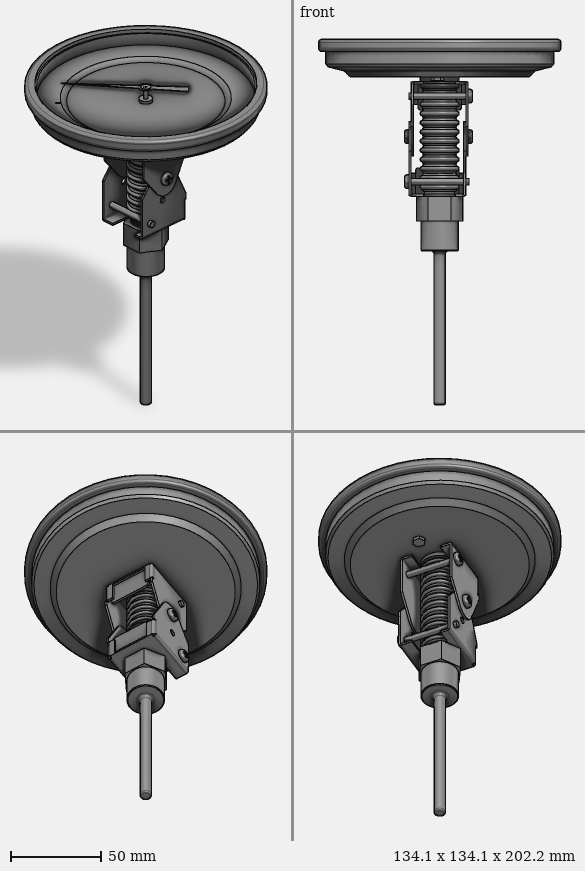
import math

import cadquery as cq

TOTAL_HEIGHT = 202.18

BEZEL_RADIUS = 134.11 / 2
BEZEL_HEIGHT = 6.8
BEZEL_ROUND = 1.8
LIP_RADIUS = 122.83 / 2
LIP_DEPTH = 2.2
CASE_RADIUS = 126.24 / 2
CASE_BORE_RADIUS = 120.9 / 2
CASE_WALL_BOTTOM = TOTAL_HEIGHT - 13.6
CASE_BOTTOM = TOTAL_HEIGHT - 20.9
CASE_SHOULDER_RADIUS = 61.8
CASE_SHOULDER_Z = TOTAL_HEIGHT - 15.3
CASE_KNEE_RADIUS = 52.8
CASE_KNEE_Z = TOTAL_HEIGHT - 17.6
CASE_FLOOR_RADIUS = 49.5

DIAL_Z = TOTAL_HEIGHT - 9.3
RECESS_TOP_RADIUS = 47.3
RECESS_FLOOR_RADIUS = 43.8
RECESS_DEPTH = 2.0
RECESS_Z = DIAL_Z - RECESS_DEPTH
MARK_INNER_RADIUS = 47.6
MARK_LENGTH = 2.6
MARK_WIDTH = 1.0
MARK_HEIGHT = 0.1
MARK_ANGLES = (232.5, 307.5)
POINTER_TOP = TOTAL_HEIGHT - 2.5
POINTER_THICKNESS = 0.4
POINTER_ANGLE = 220.0
POINTER_TIP = 47.0
POINTER_TAIL = 23.8
POINTER_TAIL_WIDTH = 5.5
POINTER_DISC_DIAMETER = 8.3
KNOB_DIAMETER = 5.75
KNOB_HEIGHT = 0.2
KNOB_DIMPLE_DIAMETER = 0.76
SPINDLE_DIAMETER = 2.5
BUSHING_DIAMETER = 7.62
BUSHING_HEIGHT = 1.7

NUT_FLATS = 6.2
NUT_X = -1.2
NUT_Y = -23.8
NUT_HEIGHT = 1.9

SHEET = 1.25
BRACKET_WIDTH = 31.5
BRACKET_DEPTH = 34.0
BEND_RADIUS = 1.5
UPPER_BASE_Z = TOTAL_HEIGHT - 23.4
LOWER_BASE_Z = TOTAL_HEIGHT - 86.9
LOWER_BRACKET_X = -SHEET
BACK_EDGE_HEIGHT = 16.4
FRONT_EDGE_HEIGHT = 25.0
EAR_HEIGHT = 33.0
EAR_RADIUS = 8.3
TAB_HEIGHT = 12.8
TAB_BOTTOM = 0.4
TAB_LENGTH = 5.0
TAB_BEND = 1.9
TAB_BEND_RADIUS = 1.8
BACK_PLATE_WIDTH = 24.1
BACK_PLATE_HEIGHT = 15.8
BACK_PLATE_CORNER = 1.5
SLOT_RADIUS = 8.8
SMALL_HOLE_DIAMETER = 3.68
SMALL_HOLE_HEIGHT = 19.1
SMALL_HOLE_Y = -1.2

ROD_DIAMETER = 3.68
ROD_Y = -11.0
ROD_HEIGHT = 8.1
UPPER_ROD_PROTRUSION = 1.25
LOWER_ROD_PROTRUSION = 1.85
HEAD_DIAMETER = 7.75
HEAD_HEIGHT = 2.5
HEAD_ROUND = 1.6
CROSS_LENGTH = 4.4
CROSS_WIDTH = 1.1
CROSS_DEPTH = 1.2

NECK_RADIUS = 21.59 / 2
RIDGE_PITCH = 5.08
RIDGE_ROUND = RIDGE_PITCH / 4
RIDGE_COUNT = 12
VALLEY_RADIUS = NECK_RADIUS - 2 * RIDGE_ROUND
TOP_VALLEY_Z = TOTAL_HEIGHT - 23.32
COLLAR_RADIUS = 8.6

HEX_FLATS = 22.225
HEX_BOTTOM = TOTAL_HEIGHT - 100.6
FITTING_RADIUS = 20.86 / 2
FITTING_BOTTOM = TOTAL_HEIGHT - 117.0
FITTING_CHAMFER = 0.5
STEM_RADIUS = 6.35 / 2
STEM_TOP_FILLET = 1.9
STEM_TIP_ROUND = 1.0


def cylinder(radius, bottom, top):
    return cq.Workplane("XY").workplane(offset=bottom).circle(radius).extrude(top - bottom)


def hexagon(flats, bottom, top):
    """Hexagonal prism on the Z axis with two corners on the X axis."""
    corners = flats / math.cos(math.pi / 6)
    return cq.Workplane("XY").workplane(offset=bottom).polygon(6, corners).extrude(top - bottom)


def tangent_point(point, centre, radius, side):
    """Point where the line from `point` touches the circle; `side` is +1 or -1."""
    dx = point[0] - centre[0]
    dy = point[1] - centre[1]
    angle = math.atan2(dy, dx) + side * math.acos(radius / math.hypot(dx, dy))
    return (centre[0] + radius * math.cos(angle), centre[1] + radius * math.sin(angle))


def make_case():
    """Bezel, case and recessed dial, turned about the stem axis."""
    bezel_bottom = TOTAL_HEIGHT - BEZEL_HEIGHT
    bezel = cylinder(BEZEL_RADIUS, bezel_bottom, TOTAL_HEIGHT).edges().fillet(BEZEL_ROUND)
    shell = (
        cq.Workplane("XZ")
        .moveTo(0, CASE_BOTTOM)
        .lineTo(CASE_FLOOR_RADIUS, CASE_BOTTOM)
        .lineTo(CASE_KNEE_RADIUS, CASE_KNEE_Z)
        .lineTo(CASE_SHOULDER_RADIUS, CASE_SHOULDER_Z)
        .lineTo(CASE_RADIUS, CASE_WALL_BOTTOM)
        .lineTo(CASE_RADIUS, bezel_bottom + BEZEL_ROUND)
        .lineTo(0, bezel_bottom + BEZEL_ROUND)
        .close()
        .revolve(360, (0, 0, 0), (0, 1, 0))
    )
    cavity = (
        cq.Workplane("XZ")
        .moveTo(0, RECESS_Z)
        .lineTo(RECESS_FLOOR_RADIUS, RECESS_Z)
        .lineTo(RECESS_TOP_RADIUS, DIAL_Z)
        .lineTo(CASE_BORE_RADIUS, DIAL_Z)
        .lineTo(CASE_BORE_RADIUS, TOTAL_HEIGHT - LIP_DEPTH)
        .lineTo(LIP_RADIUS, TOTAL_HEIGHT - LIP_DEPTH)
        .lineTo(LIP_RADIUS, TOTAL_HEIGHT)
        .lineTo(0, TOTAL_HEIGHT)
        .close()
        .revolve(360, (0, 0, 0), (0, 1, 0))
    )
    return bezel.union(shell).cut(cavity)


def make_scale_mark(angle):
    """Short raised line at one end of the scale."""
    return (
        cq.Workplane("XY")
        .workplane(offset=DIAL_Z)
        .center(MARK_INNER_RADIUS + MARK_LENGTH / 2, 0)
        .rect(MARK_LENGTH, MARK_WIDTH)
        .extrude(MARK_HEIGHT)
        .rotate((0, 0, 0), (0, 0, 1), angle)
    )


def make_pointer():
    """Tapered pointer with its hub, carried by a spindle on a bushing."""
    pointer_bottom = POINTER_TOP - POINTER_THICKNESS
    knob_top = POINTER_TOP + KNOB_HEIGHT
    needle = (
        cq.Workplane("XY")
        .workplane(offset=pointer_bottom)
        .polyline([
            (-POINTER_TAIL, -POINTER_TAIL_WIDTH / 2),
            (POINTER_TIP, 0),
            (-POINTER_TAIL, POINTER_TAIL_WIDTH / 2),
        ])
        .close()
        .extrude(POINTER_THICKNESS)
        .rotate((0, 0, 0), (0, 0, 1), POINTER_ANGLE)
    )
    disc = cylinder(POINTER_DISC_DIAMETER / 2, pointer_bottom, POINTER_TOP)
    knob = cylinder(KNOB_DIAMETER / 2, pointer_bottom, knob_top)
    dimple = cylinder(KNOB_DIMPLE_DIAMETER / 2, POINTER_TOP, knob_top)
    spindle = cylinder(SPINDLE_DIAMETER / 2, RECESS_Z, POINTER_TOP)
    bushing = cylinder(BUSHING_DIAMETER / 2, RECESS_Z, RECESS_Z + BUSHING_HEIGHT)
    return needle.union(disc).union(knob).cut(dimple).union(spindle).union(bushing)


def make_tab():
    """Rear tab of the left side plate, bent inwards round a vertical bend."""
    length = TAB_HEIGHT - TAB_BOTTOM
    outer = (
        cq.Workplane("XY")
        .box(TAB_LENGTH, TAB_BEND, length, centered=False)
        .edges("|Z and <X and >Y")
        .fillet(TAB_BEND_RADIUS)
    )
    inner = (
        cq.Workplane("XY")
        .box(TAB_LENGTH, TAB_BEND, length, centered=False)
        .edges("|Z and <X and >Y")
        .fillet(TAB_BEND_RADIUS - SHEET)
        .translate((SHEET, -SHEET, 0))
    )
    corner = (-BRACKET_WIDTH / 2, BRACKET_DEPTH / 2 - TAB_BEND, TAB_BOTTOM)
    return outer.cut(inner).translate(corner)


def make_bracket():
    """U-shaped sheet bracket standing on Z = 0, open upwards, centred on X = 0."""
    half_depth = BRACKET_DEPTH / 2
    height = EAR_HEIGHT + EAR_RADIUS
    outer = (
        cq.Workplane("XY")
        .box(BRACKET_WIDTH, BRACKET_DEPTH, height, centered=(True, True, False))
        .edges("|Y and <Z")
        .fillet(BEND_RADIUS)
    )
    inner = (
        cq.Workplane("XY")
        .workplane(offset=SHEET)
        .rect(BRACKET_WIDTH - 2 * SHEET, BRACKET_DEPTH)
        .extrude(height)
        .edges("|Y and <Z")
        .fillet(BEND_RADIUS - SHEET)
    )
    front_corner = (-half_depth, FRONT_EDGE_HEIGHT)
    back_corner = (half_depth, BACK_EDGE_HEIGHT)
    ear = (0, EAR_HEIGHT)
    outline = (
        cq.Workplane("YZ")
        .moveTo(-half_depth, 0)
        .lineTo(*front_corner)
        .lineTo(*tangent_point(front_corner, ear, EAR_RADIUS, -1))
        .threePointArc((0, height), tangent_point(back_corner, ear, EAR_RADIUS, 1))
        .lineTo(*back_corner)
        .lineTo(half_depth, 0)
        .close()
        .extrude(BRACKET_WIDTH / 2, both=True)
    )
    bracket = outer.cut(inner).intersect(outline)

    left_tab = make_tab()
    left_notch = (
        cq.Workplane("XY")
        .box(TAB_BEND, TAB_BEND, TAB_HEIGHT, centered=False)
        .translate((-BRACKET_WIDTH / 2, half_depth - TAB_BEND, 0))
    )
    bracket = bracket.cut(left_notch).cut(left_notch.mirror("YZ"))
    bracket = bracket.union(left_tab).union(left_tab.mirror("YZ"))
    back_plate = (
        cq.Workplane("XY")
        .box(BACK_PLATE_WIDTH, SHEET, BACK_PLATE_HEIGHT, centered=(True, True, False))
        .edges("|Y and >Z")
        .fillet(BACK_PLATE_CORNER)
        .translate((0, half_depth - SHEET - SHEET / 2, 0))
    )
    return bracket.union(back_plate)


def make_base_slot(base_z):
    """Slot in a bracket base, round at the stem axis and open to the front."""
    slot = cq.Workplane("XY").circle(SLOT_RADIUS).extrude(SHEET)
    mouth = (
        cq.Workplane("XY")
        .center(0, -BRACKET_DEPTH / 2)
        .rect(2 * SLOT_RADIUS, BRACKET_DEPTH)
        .extrude(SHEET)
    )
    return slot.union(mouth).translate((0, 0, base_z))


def make_head(x, y, z, direction):
    """Pan head with a cross recess; `direction` (+1 or -1) is the way it faces on X."""
    head = (
        cq.Workplane("YZ")
        .circle(HEAD_DIAMETER / 2)
        .extrude(HEAD_HEIGHT)
        .faces(">X")
        .edges()
        .fillet(HEAD_ROUND)
    )
    recess_plane = cq.Workplane("YZ").workplane(offset=HEAD_HEIGHT - CROSS_DEPTH)
    cross = (
        recess_plane.rect(CROSS_LENGTH, CROSS_WIDTH).extrude(CROSS_DEPTH)
        .union(recess_plane.rect(CROSS_WIDTH, CROSS_LENGTH).extrude(CROSS_DEPTH))
    )
    head = head.cut(cross)
    if direction < 0:
        head = head.rotate((0, 0, 0), (0, 0, 1), 180)
    return head.translate((x, y, z))


def rod_along_x(diameter, start, end, y, z):
    return (
        cq.Workplane("YZ", origin=(start, 0, 0))
        .center(y, z)
        .circle(diameter / 2)
        .extrude(end - start)
    )


def make_linkage():
    """Both brackets with their pivot screws and cross rods."""
    half_width = BRACKET_WIDTH / 2
    lower_left = LOWER_BRACKET_X - half_width
    lower_right = LOWER_BRACKET_X + half_width
    upper_rod_z = UPPER_BASE_Z - ROD_HEIGHT
    lower_rod_z = LOWER_BASE_Z + ROD_HEIGHT
    pivot_z = LOWER_BASE_Z + EAR_HEIGHT

    upper = make_bracket().rotate((0, 0, 0), (0, 1, 0), 180).translate((0, 0, UPPER_BASE_Z))
    lower = make_bracket().translate((LOWER_BRACKET_X, 0, LOWER_BASE_Z))
    upper = upper.cut(make_base_slot(UPPER_BASE_Z - SHEET))
    lower = lower.cut(make_base_slot(LOWER_BASE_Z))
    lower = lower.cut(rod_along_x(
        SMALL_HOLE_DIAMETER, lower_left, lower_right, SMALL_HOLE_Y, LOWER_BASE_Z + SMALL_HOLE_HEIGHT
    ))

    linkage = upper.union(lower)
    linkage = linkage.union(
        rod_along_x(ROD_DIAMETER, -half_width - UPPER_ROD_PROTRUSION, half_width, ROD_Y, upper_rod_z)
    )
    linkage = linkage.union(
        rod_along_x(ROD_DIAMETER, lower_left, lower_right + LOWER_ROD_PROTRUSION, ROD_Y, lower_rod_z)
    )
    linkage = linkage.union(make_head(half_width, ROD_Y, upper_rod_z, 1))
    linkage = linkage.union(make_head(lower_left, ROD_Y, lower_rod_z, -1))
    linkage = linkage.union(make_head(half_width, 0, pivot_z, 1))
    linkage = linkage.union(make_head(lower_left, 0, pivot_z, -1))
    return linkage


def make_bellows():
    """Neck, bellows with half-round crests and valleys, and a collar in the lower base slot."""
    middle_radius = NECK_RADIUS - RIDGE_ROUND
    profile = (
        cq.Workplane("XZ")
        .moveTo(0, CASE_BOTTOM)
        .lineTo(NECK_RADIUS, CASE_BOTTOM)
        .lineTo(NECK_RADIUS, UPPER_BASE_Z)
        .lineTo(VALLEY_RADIUS, UPPER_BASE_Z)
        .lineTo(VALLEY_RADIUS, TOP_VALLEY_Z)
    )
    for index in range(RIDGE_COUNT):
        top = TOP_VALLEY_Z - index * RIDGE_PITCH
        bottom = top - RIDGE_PITCH
        crest = top - RIDGE_PITCH / 2
        profile = (
            profile
            .radiusArc((middle_radius, top - RIDGE_ROUND), RIDGE_ROUND)
            .threePointArc((NECK_RADIUS, crest), (middle_radius, bottom + RIDGE_ROUND))
            .radiusArc((VALLEY_RADIUS, bottom), RIDGE_ROUND)
        )
    return (
        profile
        .lineTo(VALLEY_RADIUS, LOWER_BASE_Z + SHEET)
        .lineTo(COLLAR_RADIUS, LOWER_BASE_Z + SHEET)
        .lineTo(COLLAR_RADIUS, LOWER_BASE_Z)
        .lineTo(0, LOWER_BASE_Z)
        .close()
        .revolve(360, (0, 0, 0), (0, 1, 0))
    )


def make_stem():
    """Hexagon, plain fitting and stem with a rounded tip."""
    wrench_hex = hexagon(HEX_FLATS, HEX_BOTTOM, LOWER_BASE_Z)
    fitting = (
        cylinder(FITTING_RADIUS, FITTING_BOTTOM, HEX_BOTTOM)
        .faces("<Z")
        .edges()
        .chamfer(FITTING_CHAMFER)
    )
    stem = cylinder(STEM_RADIUS, 0, FITTING_BOTTOM).faces("<Z").edges().fillet(STEM_TIP_ROUND)
    fillet_radius = STEM_RADIUS + STEM_TOP_FILLET
    collar = (
        cq.Workplane("XZ")
        .moveTo(0, FITTING_BOTTOM)
        .lineTo(fillet_radius, FITTING_BOTTOM)
        .radiusArc((STEM_RADIUS, FITTING_BOTTOM - STEM_TOP_FILLET), -STEM_TOP_FILLET)
        .lineTo(0, FITTING_BOTTOM - STEM_TOP_FILLET)
        .close()
        .revolve(360, (0, 0, 0), (0, 1, 0))
    )
    return wrench_hex.union(fitting).union(stem).union(collar)


result = make_case().union(make_pointer())
for mark_angle in MARK_ANGLES:
    result = result.union(make_scale_mark(mark_angle))
case_nut = hexagon(NUT_FLATS, CASE_BOTTOM - NUT_HEIGHT, CASE_BOTTOM).translate((NUT_X, NUT_Y, 0))
result = result.union(case_nut)
result = result.union(make_bellows())
result = result.union(make_linkage())
result = result.union(make_stem())